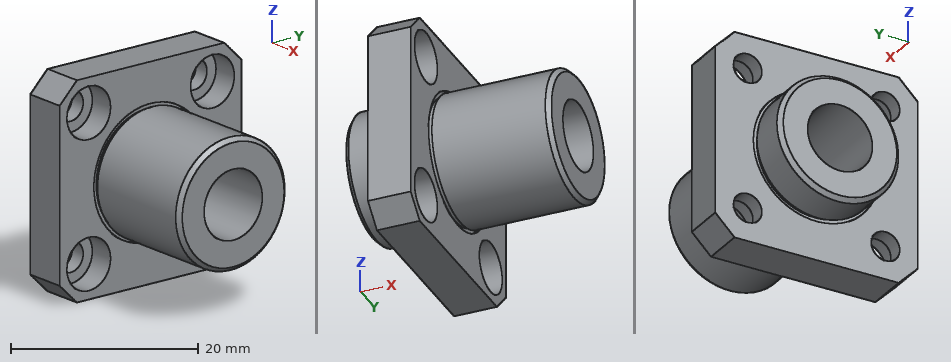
import cadquery as cq

flange_side = 25.0
flange_thickness = 5.0
flange_corner_cut = 2.38
mount_hole_diameter = 3.5
mount_hole_spacing = 17.0
counterbore_diameter = 6.0
counterbore_depth = 3.1

sleeve_length = 24.0
sleeve_diameter = 15.0
bore_diameter = 8.0
end_chamfer = 0.5
front_length = 5.0

relief_width = 0.25
relief_diameter = 14.35
relief_recess_diameter = 15.6
relief_recess_depth = 0.38

flange_back = front_length + flange_thickness


def cylinder(diameter, start, length):
    """Solid cylinder along X, centred on the sleeve axis."""
    return cq.Workplane("YZ", origin=(start, 0, 0)).circle(diameter / 2).extrude(length)


def make_flange():
    return (
        cq.Workplane("YZ", origin=(front_length, 0, 0))
        .rect(flange_side, flange_side)
        .extrude(flange_thickness)
        .edges("|X")
        .chamfer(flange_corner_cut)
    )


def make_mount_hole_set(diameter, start, length):
    """Four cylinders along X at the corners of the mounting pattern."""
    return (
        cq.Workplane("YZ", origin=(start, 0, 0))
        .rect(mount_hole_spacing, mount_hole_spacing, forConstruction=True)
        .vertices()
        .circle(diameter / 2)
        .extrude(length)
    )


def make_relief(start, length):
    """Ring that thins the sleeve and sinks into the flange face."""
    ring = cylinder(relief_recess_diameter, start, length)
    return ring.cut(cylinder(relief_diameter, start, length))


sleeve = cylinder(sleeve_diameter, 0, sleeve_length).faces("<X or >X").chamfer(end_chamfer)
relief_length = relief_width + relief_recess_depth

result = (
    make_flange()
    .union(sleeve)
    .cut(make_mount_hole_set(mount_hole_diameter, front_length, flange_thickness))
    .cut(make_mount_hole_set(counterbore_diameter, flange_back - counterbore_depth, counterbore_depth))
    .cut(make_relief(front_length - relief_width, relief_length))
    .cut(make_relief(flange_back - relief_recess_depth, relief_length))
    .cut(cylinder(bore_diameter, 0, sleeve_length))
)